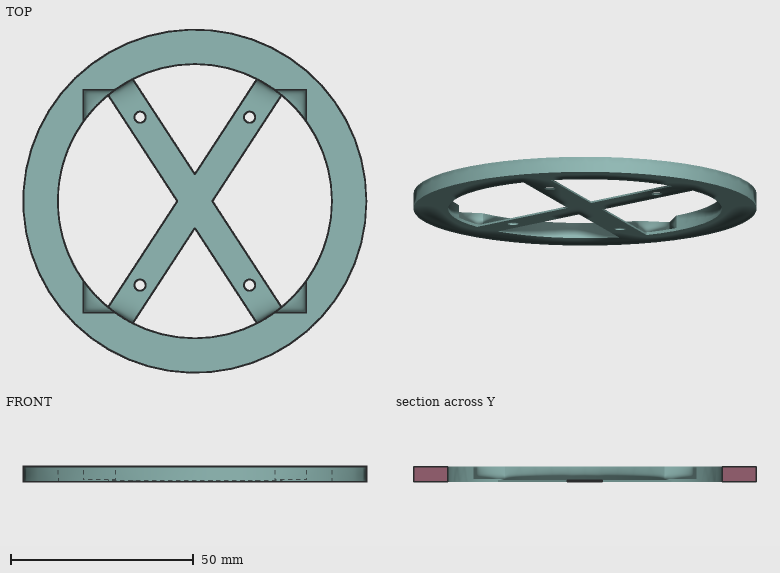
import cadquery as cq
import math

outer_diameter = 94.0
inner_diameter = 75.0
ring_height = 4.2

recess_side = 61.0
floor_thickness = 0.75

bar_width = 8.1
bar_thickness = 0.5
hole_diameter = 3.0
hole_spacing_x = 30.0
hole_spacing_y = 46.0
bar_angle = math.degrees(math.atan2(hole_spacing_y, hole_spacing_x))

bar_length = (outer_diameter + inner_diameter) / 2


def make_ring():
    """Flat ring with four corner pockets open to its bore."""
    ring = (
        cq.Workplane("XY")
        .circle(outer_diameter / 2)
        .circle(inner_diameter / 2)
        .extrude(ring_height)
    )
    recess = (
        cq.Workplane("XY")
        .workplane(offset=floor_thickness)
        .rect(recess_side, recess_side)
        .extrude(ring_height - floor_thickness)
    )
    return ring.cut(recess)


def make_bar(angle):
    """Thin bar across the bore, lying flush with the underside of the ring."""
    bar = cq.Workplane("XY").rect(bar_length, bar_width).extrude(bar_thickness)
    return bar.rotate((0, 0, 0), (0, 0, 1), angle)


holes = (
    cq.Workplane("XY")
    .rect(hole_spacing_x, hole_spacing_y, forConstruction=True)
    .vertices()
    .circle(hole_diameter / 2)
    .extrude(bar_thickness)
)

result = make_ring()
for angle in (bar_angle, -bar_angle):
    result = result.union(make_bar(angle))
result = result.cut(holes)